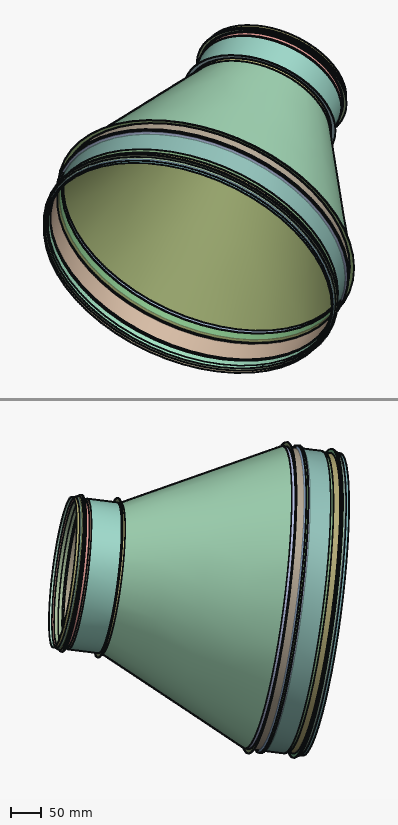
import cadquery as cq
import math

total_length = 429.5
sheet = 0.5

large_diameter = 499.0
small_diameter = 249.0

seam_fold = 7.0
large_seam_offset = 89.5
small_seam_offset = 75.0
large_collar = 6.0
small_collar = 5.5

neck_depth = 2.3
rim_length = 5.0
neck_start = 8.0
large_neck_end = 25.5
small_neck_end = 21.5
large_step_length = 5.0
small_step_length = 3.0

strip_thickness = 0.5
band_depth = 0.5
slope_lip_bend = 7.5
slope_lip_tip = 11.0
bend_rise = 1.5
slope_lip_rise = 2.8
flat_lip_rise = 5.0
flat_lip_middle = 14.5
flat_lip_thickness = 1.5
flat_lip_start = flat_lip_middle - flat_lip_thickness / 2
band_end = flat_lip_middle + flat_lip_thickness / 2

bead_middle = 70.5
bead_crest_width = 4.0
bead_fillet = 3.0
bead_rise = 4.0

large_radius = large_diameter / 2
small_radius = small_diameter / 2


def revolve_profile(points):
    """Turn a closed outline of (radius, y) points about the Y axis."""
    return cq.Workplane("XY").polyline(points).close().revolve(360, (0, 0, 0), (0, 1, 0))


def at_small_end(body):
    """Turn a body built from a rim at Y = 0 round to the small end."""
    return body.mirror("XZ").translate((0, total_length, 0))


def make_tube(radius, neck_end, step_length, seam_offset):
    """End tube from its rim at Y = 0 to its seam flange."""
    neck_radius = radius - neck_depth
    step_end = neck_end + step_length
    return revolve_profile([
        (radius - sheet, 0),
        (radius, 0),
        (radius, rim_length),
        (neck_radius, neck_start),
        (neck_radius, neck_end),
        (radius, step_end),
        (radius, seam_offset - sheet),
        (radius + seam_fold, seam_offset - sheet),
        (radius + seam_fold, seam_offset),
        (radius - sheet, seam_offset),
        (radius - sheet, step_end),
        (neck_radius - sheet, neck_end),
        (neck_radius - sheet, neck_start),
        (radius - sheet, rim_length),
    ])


def make_gasket(radius, neck_end):
    """Lip gasket that fills the neck of a tube behind its rim."""
    neck_radius = radius - neck_depth
    band_radius = radius - band_depth
    strip_radius = neck_radius + strip_thickness
    return revolve_profile([
        (neck_radius, neck_start),
        (radius, rim_length),
        (radius + bend_rise, slope_lip_bend),
        (radius + slope_lip_rise, slope_lip_tip),
        (band_radius, slope_lip_tip),
        (band_radius, flat_lip_start),
        (radius + flat_lip_rise, flat_lip_start),
        (radius + flat_lip_rise, band_end),
        (strip_radius, band_end),
        (strip_radius, neck_end),
        (neck_radius, neck_end),
    ])


def make_ridge(base_radius, crest_width, fillet):
    """Solid ring as thick as the tube wall plus a ridge with filleted flanks."""
    half_crest = crest_width / 2
    half_base = half_crest + fillet
    arc_inset = fillet * (1 - math.sqrt(0.5))
    inner_radius = base_radius - sheet
    crest_radius = base_radius + bead_rise
    return (
        cq.Workplane("XY")
        .moveTo(inner_radius, bead_middle - half_base)
        .lineTo(base_radius, bead_middle - half_base)
        .threePointArc(
            (base_radius + arc_inset, bead_middle - half_crest - arc_inset),
            (base_radius + fillet, bead_middle - half_crest),
        )
        .lineTo(crest_radius, bead_middle - half_crest)
        .lineTo(crest_radius, bead_middle + half_crest)
        .lineTo(base_radius + fillet, bead_middle + half_crest)
        .threePointArc(
            (base_radius + arc_inset, bead_middle + half_crest + arc_inset),
            (base_radius, bead_middle + half_base),
        )
        .lineTo(inner_radius, bead_middle + half_base)
        .close()
        .revolve(360, (0, 0, 0), (0, 1, 0))
    )


def add_bead(tube, radius):
    """Press a hollow bead of constant sheet thickness out of a tube."""
    bead = make_ridge(radius, bead_crest_width, bead_fillet)
    hollow = make_ridge(radius - sheet, bead_crest_width - 2 * sheet, bead_fillet + sheet)
    return tube.union(bead).cut(hollow)


def make_cone():
    """Cone with a straight collar and a seam flange at each end."""
    large_seam = large_seam_offset
    small_seam = total_length - small_seam_offset
    cone_start = large_seam + large_collar
    cone_end = small_seam - small_collar
    return revolve_profile([
        (large_radius - sheet, large_seam),
        (large_radius + seam_fold, large_seam),
        (large_radius + seam_fold, large_seam + sheet),
        (large_radius, large_seam + sheet),
        (large_radius, cone_start),
        (small_radius, cone_end),
        (small_radius, small_seam - sheet),
        (small_radius + seam_fold, small_seam - sheet),
        (small_radius + seam_fold, small_seam),
        (small_radius - sheet, small_seam),
        (small_radius - sheet, cone_end),
        (large_radius - sheet, cone_start),
    ])


cone = make_cone()

large_tube = make_tube(large_radius, large_neck_end, large_step_length, large_seam_offset)
large_tube = add_bead(large_tube, large_radius)
large_gasket = make_gasket(large_radius, large_neck_end)

small_tube = at_small_end(
    make_tube(small_radius, small_neck_end, small_step_length, small_seam_offset)
)
small_gasket = at_small_end(make_gasket(small_radius, small_neck_end))

result = cq.Compound.makeCompound([
    cone.val(),
    large_tube.val(),
    small_tube.val(),
    large_gasket.val(),
    small_gasket.val(),
])